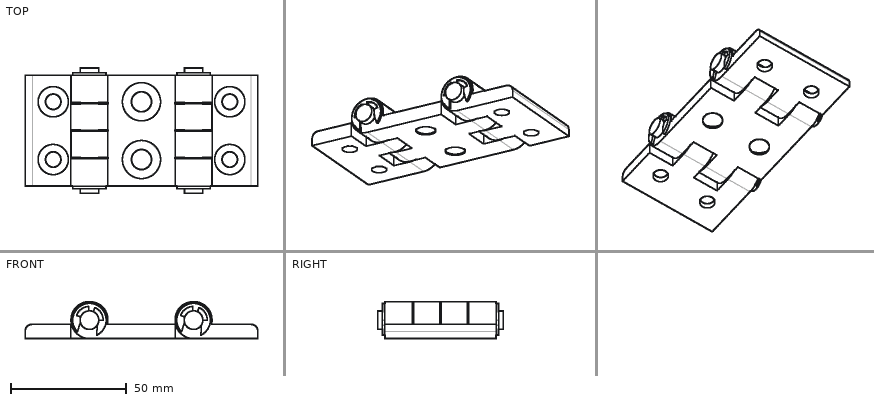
import cadquery as cq
import math

overall_length = 100.6
leaf_width = 48.0
leaf_thickness = 6.2
axis_spacing = 45.0
edge_radius = 3.0

barrel_diameter = 16.0
barrel_radius = barrel_diameter / 2
axis_height = barrel_radius
knuckle_count = 4
knuckle_gap = 0.5
end_knuckle_width = 11.9
inner_knuckle_count = knuckle_count - 2
total_gap = (knuckle_count - 1) * knuckle_gap
inner_knuckle_width = (leaf_width - 2 * end_knuckle_width - total_gap) / inner_knuckle_count

pin_radius = 4.0
pin_length = 54.2

clip_radius = 7.2
clip_thickness = 1.1
clip_tilt = 10.0
clip_pocket_radius = 5.9
clip_pocket_start = 14.0
clip_pocket_end = 80.0
clip_mouth_inner_angle = 114.0
clip_mouth_outer_angle = 144.0

hole_spacing = 24.9
outer_hole_offset = 38.1
outer_hole_diameter = 6.5
outer_sink_diameter = 13.1
middle_hole_diameter = 8.5
middle_sink_diameter = 16.5
outer_sink_angle = 90.0
middle_sink_angle = 70.0

LEFT = -1
RIGHT = 1
axis_positions = [-axis_spacing / 2, axis_spacing / 2]
leaf_front = -leaf_width / 2


def polar(radius, degrees):
    """Point at an angle counted clockwise from straight up."""
    angle = math.radians(degrees)
    return radius * math.sin(angle), radius * math.cos(angle)


def cylinder_along_y(axis_x, radius, length):
    """Cylinder on a hinge axis, centred on Y = 0."""
    return (
        cq.Workplane("XZ", origin=(axis_x, 0, axis_height))
        .circle(radius)
        .extrude(length / 2, both=True)
    )


def plate(x_start, x_end):
    """Flat plate of a leaf, resting on Z = 0."""
    size = (x_end - x_start, leaf_width, leaf_thickness)
    return cq.Workplane("XY").box(*size, centered=False).translate((x_start, leaf_front, 0))


def knuckle_span(index):
    """Front Y position and width of a knuckle, counted from the front."""
    if index == 0:
        return leaf_front, end_knuckle_width
    inner_pitch = inner_knuckle_width + knuckle_gap
    start_y = leaf_front + end_knuckle_width + knuckle_gap + (index - 1) * inner_pitch
    width = end_knuckle_width if index == knuckle_count - 1 else inner_knuckle_width
    return start_y, width


def knuckle(axis_x, side, index):
    """One round knuckle with its foot, which runs along the bottom to the plate on the given side."""
    start_y, width = knuckle_span(index)
    barrel = (
        cq.Workplane("XZ", origin=(axis_x, start_y, axis_height))
        .circle(barrel_radius)
        .extrude(-width)
    )
    foot_x = min(axis_x, axis_x + side * barrel_radius)
    foot = cq.Workplane("XY").box(barrel_radius, width, leaf_thickness, centered=False)
    return barrel.union(foot.translate((foot_x, start_y, 0)))


def add_knuckles(leaf, axis_x, side):
    """Join every second knuckle of a barrel to the leaf and bore them for the pin."""
    first = 0 if side == RIGHT else 1
    for index in range(first, knuckle_count, 2):
        leaf = leaf.union(knuckle(axis_x, side, index))
    bore = cylinder_along_y(axis_x, pin_radius, leaf_width)
    return leaf.cut(bore)


def drill_screw_holes(leaf, hole_x, hole_diameter, sink_diameter, sink_angle):
    """Two countersunk through holes, one behind the other along Y."""
    centers = [(hole_x, -hole_spacing / 2), (hole_x, hole_spacing / 2)]
    return (
        leaf.copyWorkplane(cq.Workplane("XY", origin=(0, 0, leaf_thickness)))
        .pushPoints(centers)
        .cskHole(hole_diameter, sink_diameter, sink_angle)
    )


def outer_leaf(direction):
    """Leaf at the LEFT or RIGHT end, with its outer top edge rounded."""
    axis_x = direction * axis_spacing / 2
    inner_x = axis_x + direction * barrel_radius
    outer_x = direction * overall_length / 2
    leaf = plate(min(inner_x, outer_x), max(inner_x, outer_x))
    outer_face = ">X" if direction == RIGHT else "<X"
    leaf = leaf.faces(outer_face).edges(">Z").fillet(edge_radius)
    leaf = add_knuckles(leaf, axis_x, direction)
    hole_x = direction * outer_hole_offset
    return drill_screw_holes(leaf, hole_x, outer_hole_diameter, outer_sink_diameter, outer_sink_angle)


def middle_leaf():
    """Leaf between the two barrels, carrying knuckles of both."""
    left_axis, right_axis = axis_positions
    leaf = plate(left_axis + barrel_radius, right_axis - barrel_radius)
    leaf = add_knuckles(leaf, left_axis, RIGHT)
    leaf = add_knuckles(leaf, right_axis, LEFT)
    return drill_screw_holes(leaf, 0, middle_hole_diameter, middle_sink_diameter, middle_sink_angle)


def hinge_pin(axis_x):
    """Plain pin, standing out past the clips at both ends."""
    return cylinder_along_y(axis_x, pin_radius, pin_length)


def clip_pocket(side):
    """Solid to cut away for a pocket between two of the clip's gripping lands."""
    start = side * clip_pocket_start
    end = side * clip_pocket_end
    middle = (start + end) / 2
    return (
        cq.Workplane("XZ")
        .moveTo(*polar(pin_radius, start))
        .lineTo(*polar(clip_pocket_radius, start))
        .threePointArc(polar(clip_pocket_radius, middle), polar(clip_pocket_radius, end))
        .lineTo(*polar(pin_radius, end))
        .threePointArc(polar(pin_radius, middle), polar(pin_radius, start))
        .close()
        .extrude(-clip_thickness)
    )


def retaining_clip(axis_x, start_y):
    """Open snap ring around the pin, with two pockets and a flared mouth at the bottom."""
    inner = clip_mouth_inner_angle
    outer = clip_mouth_outer_angle
    clip = (
        cq.Workplane("XZ")
        .moveTo(*polar(pin_radius, -inner))
        .lineTo(*polar(clip_radius, -outer))
        .threePointArc(polar(clip_radius, 0), polar(clip_radius, outer))
        .lineTo(*polar(pin_radius, inner))
        .threePointArc(polar(pin_radius, 0), polar(pin_radius, -inner))
        .close()
        .extrude(-clip_thickness)
    )
    for side in (LEFT, RIGHT):
        clip = clip.cut(clip_pocket(side))
    clip = clip.rotate((0, 0, 0), (0, 1, 0), clip_tilt)
    return clip.translate((axis_x, start_y, axis_height))


leaves = [outer_leaf(LEFT), middle_leaf(), outer_leaf(RIGHT)]
pins = [hinge_pin(axis_x) for axis_x in axis_positions]
clips = []
for axis_x in axis_positions:
    for start_y in (leaf_front - clip_thickness, -leaf_front):
        clips.append(retaining_clip(axis_x, start_y))

result = cq.Compound.makeCompound([body.solids().val() for body in leaves + pins + clips])